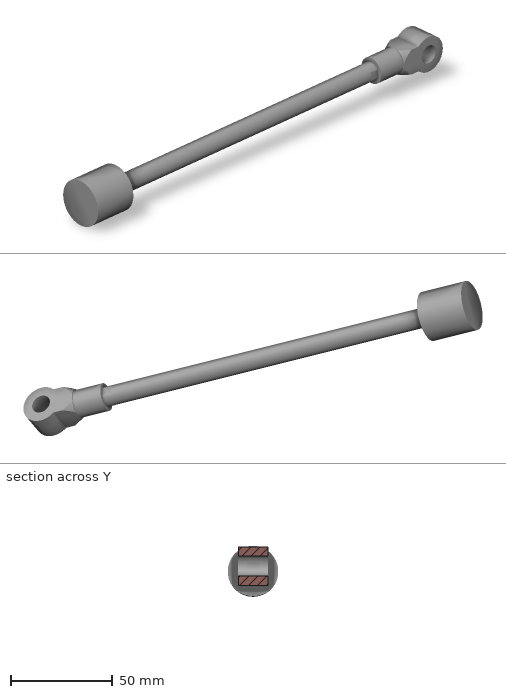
import cadquery as cq
import math

overall_length = 242.2
tilt_angle = 0.7

eye_radius = 9.7
eye_hole_radius = 4.8
eye_width = 15.0
stem_height = 13.8
stem_flat_end = 11.9
stem_end = 17.0
sleeve_radius = 7.0
sleeve_end = 32.2

rod_radius = 10.0 / 2
flat_length = 4.5
flat_height = 4.5
flat_spacing = 2 * math.sqrt(rod_radius**2 - (flat_height / 2) ** 2)
head_radius = 25.0 / 2
head_length = 24.2

tilt = math.radians(tilt_angle)
head_end = (overall_length - eye_radius - head_radius * math.sin(tilt)) / math.cos(tilt)
head_start = head_end - head_length


def cylinder_along_axis(radius, start, end):
    """Round bar around the part axis, between two distances from the eye centre."""
    return cq.Workplane("XZ", origin=(0, -start, 0)).circle(radius).extrude(end - start)


def make_stem():
    """Rectangular stem whose corners are turned down by a cone towards the sleeve."""
    block = cq.Workplane("XY").box(eye_width, stem_end, stem_height).translate((0, -stem_end / 2, 0))
    corner_radius = math.hypot(eye_width, stem_height) / 2
    envelope = (
        cq.Workplane("XY")
        .moveTo(0, 0)
        .lineTo(corner_radius, 0)
        .lineTo(corner_radius, -stem_flat_end)
        .lineTo(eye_width / 2, -stem_end)
        .lineTo(0, -stem_end)
        .close()
        .revolve(360, (0, 0, 0), (0, 1, 0))
    )
    return block.intersect(envelope)


def make_eye_end():
    """Eye, stem and sleeve as one body, with the cross hole through the eye."""
    ring = cq.Workplane("YZ").circle(eye_radius).extrude(eye_width / 2, both=True)
    hole = cq.Workplane("YZ").circle(eye_hole_radius).extrude(eye_width, both=True)
    sleeve = cylinder_along_axis(sleeve_radius, stem_end, sleeve_end)
    return ring.union(make_stem()).union(sleeve).cut(hole)


def make_rod():
    """Rod butting against the sleeve, with two wrench flats and a cylindrical head."""
    flatted_section = cylinder_along_axis(rod_radius, sleeve_end, sleeve_end + flat_length).intersect(
        cq.Workplane("XY")
        .box(flat_spacing, flat_length, 2 * rod_radius)
        .translate((0, -sleeve_end - flat_length / 2, 0))
    )
    round_section = cylinder_along_axis(rod_radius, sleeve_end + flat_length, head_start)
    head = cylinder_along_axis(head_radius, head_start, head_end)
    return flatted_section.union(round_section).union(head)


def tilted(body):
    """Body turned about X so that the head hangs slightly below the eye."""
    return body.rotate((0, 0, 0), (1, 0, 0), tilt_angle)


eye_end = tilted(make_eye_end())
rod = tilted(make_rod())

result = cq.Compound.makeCompound([eye_end.val(), rod.val()])